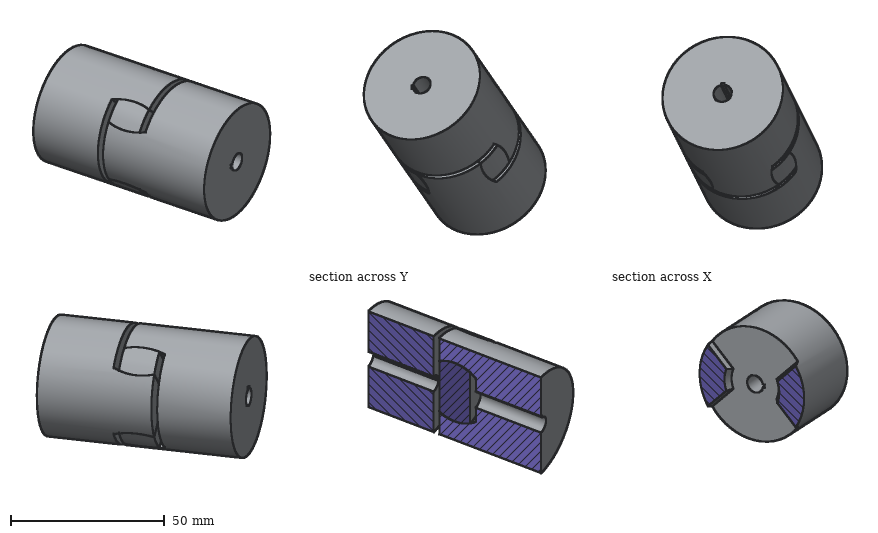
import cadquery as cq


outer_radius = 20.0
hub_body_length = 25.0
jaw_length = 14.0
jaw_end_gap = 2.0

bore_radius = 3.0
keyway_width = 1.2
keyway_top = 3.6

arm_half_width = 5.0
core_radius = 12.0
barrel_radius = 20.0

jaw_tip = hub_body_length + jaw_length
opposite_face = jaw_tip + jaw_end_gap
middle = (hub_body_length + opposite_face) / 2
spider_start = hub_body_length + jaw_end_gap
spider_length = jaw_tip - spider_start
pocket_length = opposite_face - hub_body_length

barrel_drop = barrel_radius - (barrel_radius**2 - (pocket_length / 2)**2) ** 0.5


def x_cylinder(start, length, radius):
    """Solid cylinder along the X axis."""
    return cq.Workplane("YZ", origin=(start, 0, 0)).circle(radius).extrude(length)


def barrel_arm_bar(angle):
    """Bar across the full diameter with bulging flanks, turned about X from the Y axis."""
    end_half_width = arm_half_width - barrel_drop
    bar = (
        cq.Workplane("XZ")
        .moveTo(hub_body_length, -end_half_width)
        .threePointArc((middle, -arm_half_width), (opposite_face, -end_half_width))
        .lineTo(opposite_face, end_half_width)
        .threePointArc((middle, arm_half_width), (hub_body_length, end_half_width))
        .close()
        .extrude(outer_radius, both=True)
    )
    return bar.rotate((0, 0, 0), (1, 0, 0), angle)


def ball_core():
    """Spherical centre of the spider, limited to the space between the hub bodies."""
    ball = cq.Workplane("XY", origin=(middle, 0, 0)).sphere(core_radius)
    return ball.intersect(x_cylinder(hub_body_length, pocket_length, core_radius))


def barrel_cross():
    """Core and four arms on the diagonals, spanning the whole space between the hub bodies."""
    return ball_core().union(barrel_arm_bar(45)).union(barrel_arm_bar(-45))


def jaw_sectors():
    """Two opposite quarter wedges, towards +Z and -Z, before the spider space is removed."""
    wedges = (
        cq.Workplane("YZ", origin=(hub_body_length, 0, 0))
        .polyline([(0, 0), (outer_radius, outer_radius), (-outer_radius, outer_radius)])
        .close()
        .polyline([(0, 0), (outer_radius, -outer_radius), (-outer_radius, -outer_radius)])
        .close()
        .extrude(jaw_length)
    )
    return wedges.intersect(x_cylinder(hub_body_length, jaw_length, outer_radius))


def keyed_bore():
    """Shaft bore through the hub body with a keyway on its +Z side."""
    keyway = cq.Workplane("XY").box(
        hub_body_length, keyway_width, keyway_top, centered=(False, True, False)
    )
    return x_cylinder(0, hub_body_length, bore_radius).union(keyway)


def make_hub():
    jaws = jaw_sectors().cut(barrel_cross())
    body = x_cylinder(0, hub_body_length, outer_radius).cut(keyed_bore())
    return body.union(jaws)


def make_spider():
    return barrel_cross().intersect(x_cylinder(spider_start, spider_length, outer_radius))


left_hub = make_hub()

right_hub = make_hub().rotate((middle, 0, 0), (middle, 1, -1), 180)

spider = make_spider()

result = cq.Compound.makeCompound([left_hub.val(), right_hub.val(), spider.val()])